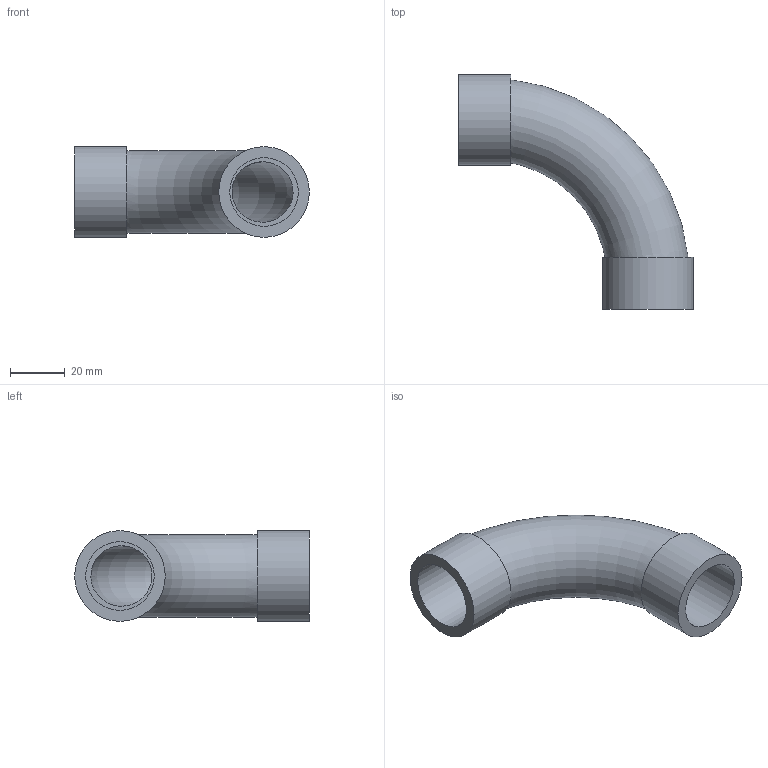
import cadquery as cq

OVERALL_LENGTH = 85.5
COLLAR_DIAMETER = 33.0
COLLAR_LENGTH = 19.0
SOCKET_DIAMETER = 25.0
SOCKET_DEPTH = COLLAR_LENGTH
TUBE_DIAMETER = 30.0
BORE_DIAMETER = 22.0
BEND_START = 11.25
BEND_ANGLE = 90.0

AXIS_OFFSET = OVERALL_LENGTH - COLLAR_DIAMETER / 2
BEND_RADIUS = AXIS_OFFSET - BEND_START


def bend(diameter):
    """Solid quarter torus, tangent to both collar axes."""
    return (
        cq.Workplane("YZ", origin=(BEND_START, AXIS_OFFSET, 0))
        .circle(diameter / 2)
        .revolve(BEND_ANGLE, (-BEND_RADIUS, 0, 0), (-BEND_RADIUS, -1, 0))
    )


def end_cylinders(diameter, length):
    """Pair of cylinders going inward from the two end faces, one along X and one along Y."""
    along_x = cq.Workplane("YZ", origin=(0, AXIS_OFFSET, 0)).circle(diameter / 2).extrude(length)
    along_y = cq.Workplane("XZ", origin=(AXIS_OFFSET, 0, 0)).circle(diameter / 2).extrude(-length)
    return along_x.union(along_y)


body = bend(TUBE_DIAMETER).union(end_cylinders(COLLAR_DIAMETER, COLLAR_LENGTH))

bore = bend(BORE_DIAMETER)
sockets = end_cylinders(SOCKET_DIAMETER, SOCKET_DEPTH)

result = body.cut(bore).cut(sockets)